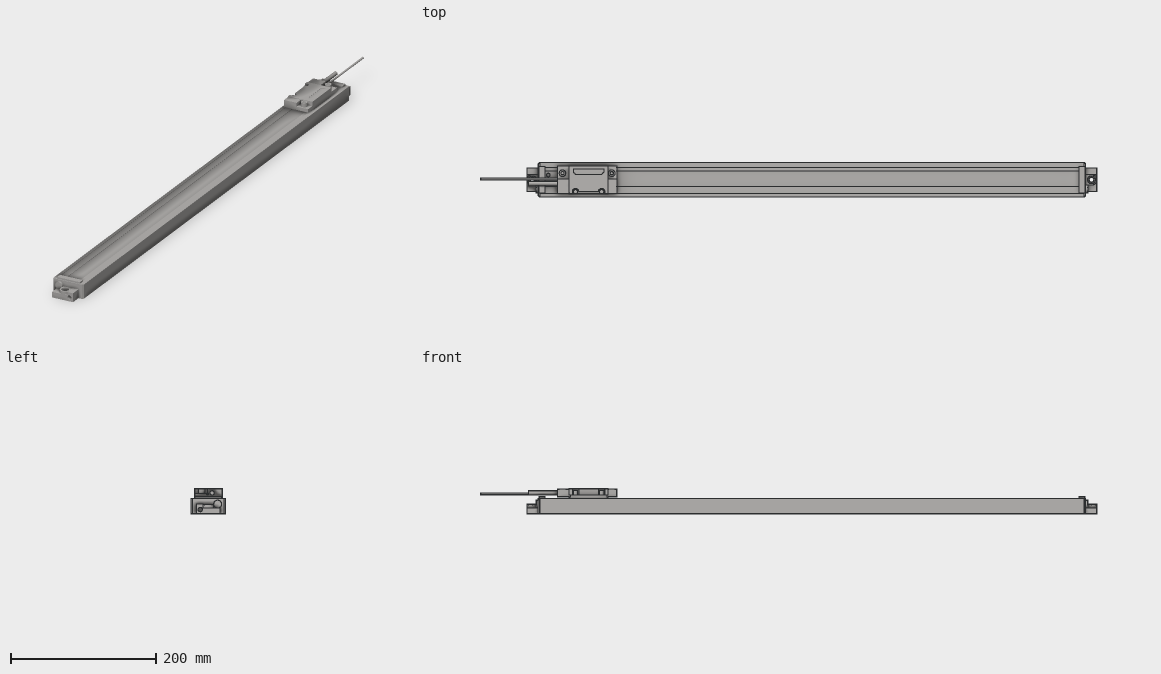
import cadquery as cq

total_length = 850.0
total_height = 35.0

rail_length = 750.0
rail_width = 47.9
rail_height = 21.5
groove_front = -19.0
strip_front = -9.0
strip_back = 12.0
groove_back = 17.0
shoulder_depth = 0.5
strip_depth = 1.0
strip_hole_diameter = 5.0
strip_hole_depth = 2.0
strip_hole_inset = 11.5
strip_hole_y = 6.5

flange_length = 18.0
flange_width = 33.0
flange_height = 8.5
plate_thickness = 2.5
plate_chamfer = 2.0
pad_width = 15.0
pad_height = 13.0
side_block_height = 13.5
mount_hole_diameter = 6.5
mount_counterbore_diameter = 11.0
mount_counterbore_depth = pad_height - flange_height
plug_diameter = 11.0
plug_y = -13.0
plug_z = 13.5
plug_length = 5.5
port_diameter = 6.0
port_y = 11.0
port_z = 6.0
port_depth = 10.0
tongue_length = 7.0
tongue_width = 36.0
tongue_bottom = 18.0
tongue_top = 24.0

rail_end = total_length - flange_length
rail_start = rail_end - rail_length

head_start = 106.0
head_length = 82.0
head_width = 38.5
left_wing_length = 16.0
right_wing_length = 12.0
wing_setback = 0.6
wing_step_height = 28.5
wing_step_y = 1.0
wing_top = total_height - 0.8
wing_underside = 23.5
foot_corner_radius = 4.0
cover_start = head_start + left_wing_length
cover_end = head_start + head_length - right_wing_length
head_bottom = rail_height
base_top = 26.0
head_y = -0.3
screw_diameter = 9.0
screw_head_height = 6.0
socket_diameter = 4.5
socket_depth = 2.0
screw_y = 9.0
screw_inset = 7.0
label_length = 42.0
label_width = 7.0
label_y = 11.0
label_depth = 0.5
label_chamfer = 3.0
side_pocket_length = 44.0
side_pocket_depth = 3.5
side_screw_diameter = 6.0
side_screw_clearance = 9.0
side_screw_pitch = 36.0
side_screw_height = 6.5

cable_diameter = 2.8
cable_y = 1.0
cable_z = 27.6
sleeve_diameter = 6.0
sleeve_length = 40.0
sleeve_y = -5.3
sleeve_z = 29.0


def box(x_min, x_max, y_min, y_max, z_min, z_max):
    """Axis-aligned block between the given limits."""
    size = (x_max - x_min, y_max - y_min, z_max - z_min)
    return cq.Workplane("XY").box(*size, centered=False).translate((x_min, y_min, z_min))


def rod_along_x(x_start, length, y, z, diameter):
    """Cylinder running in +X from x_start."""
    return cq.Workplane("YZ", origin=(x_start, y, z)).circle(diameter / 2).extrude(length)


def make_rail():
    """Long bar with a shallow stepped top and a seat at each end for a cap tongue,
    plus a small blind hole in the strip near the -X end.
    """
    half_width = rail_width / 2
    shoulder_z = rail_height - shoulder_depth
    strip_z = rail_height - strip_depth
    profile = [
        (-half_width, 0),
        (half_width, 0),
        (half_width, rail_height),
        (groove_back, rail_height),
        (groove_back, shoulder_z),
        (strip_back, shoulder_z),
        (strip_back, strip_z),
        (strip_front, strip_z),
        (strip_front, shoulder_z),
        (groove_front, shoulder_z),
        (groove_front, rail_height),
        (-half_width, rail_height),
    ]
    body = cq.Workplane("YZ", origin=(rail_start, 0, 0)).polyline(profile).close().extrude(rail_length)
    for seat_start in (rail_start, rail_end - tongue_length):
        seat = box(
            seat_start, seat_start + tongue_length,
            -tongue_width / 2, tongue_width / 2,
            tongue_bottom, total_height,
        )
        body = body.cut(seat)
    strip_hole = (
        cq.Workplane("XY", origin=(rail_start + strip_hole_inset, strip_hole_y, strip_z - strip_hole_depth))
        .circle(strip_hole_diameter / 2)
        .extrude(strip_hole_depth)
    )
    return body.cut(strip_hole)


def make_right_cap():
    """End cap at the +X end: plate, tongue, mounting flange with raised pad and side block, and plug."""
    plate = box(rail_end, rail_end + plate_thickness, -rail_width / 2, rail_width / 2, 0, rail_height)
    plate = plate.faces(">X").edges("|Z").chamfer(plate_chamfer)
    tongue = box(
        rail_end - tongue_length, rail_end + plate_thickness / 2,
        -tongue_width / 2, tongue_width / 2,
        tongue_bottom, tongue_top,
    )
    flange = box(rail_end, total_length, -flange_width / 2, flange_width / 2, 0, flange_height)
    pad_radius = pad_width / 2
    hole_x = total_length - pad_radius
    pad = (
        box(rail_end, hole_x, -pad_radius, pad_radius, 0, pad_height)
        .union(cq.Workplane("XY", origin=(hole_x, 0, 0)).circle(pad_radius).extrude(pad_height))
    )
    plug = rod_along_x(rail_end, plug_length, plug_y, plug_z, plug_diameter)
    side_block = box(rail_end, total_length, pad_radius, flange_width / 2, 0, side_block_height)
    cap = plate.union(tongue).union(flange).union(pad).union(side_block).union(plug)

    mount_hole = cq.Workplane("XY", origin=(hole_x, 0, 0)).circle(mount_hole_diameter / 2).extrude(pad_height)
    counterbore = (
        cq.Workplane("XY", origin=(hole_x, 0, pad_height - mount_counterbore_depth))
        .circle(mount_counterbore_diameter / 2)
        .extrude(mount_counterbore_depth)
    )
    port = rod_along_x(total_length - port_depth, port_depth, port_y, port_z, port_diameter)
    return cap.cut(mount_hole).cut(counterbore).cut(port)


def make_left_cap():
    """The right cap mirrored to the -X end of the rail."""
    rail_middle = (rail_start + rail_end) / 2
    return make_right_cap().mirror("YZ", (rail_middle, 0, 0))


def wing_screw(x):
    """Socket head screw standing on a lowered wing."""
    seat = cq.Workplane("XY", origin=(x, screw_y, wing_step_height))
    screw = seat.circle(screw_diameter / 2).extrude(screw_head_height)
    return screw.faces(">Z").workplane().hole(socket_diameter, socket_depth)


def make_head():
    """Reading head riding on the rail, with its cover, screws, cable and sleeve."""
    head_end = head_start + head_length
    y_front = head_y - head_width / 2
    y_back = head_y + head_width / 2
    head = box(head_start, head_end, y_front + wing_setback, y_back, wing_underside, wing_top)
    foot = box(cover_start, cover_end, y_front, y_back, head_bottom, base_top)
    foot = foot.edges("|Z").fillet(foot_corner_radius)
    cover = box(cover_start, cover_end, y_front, y_back, base_top, total_height)
    head = head.union(foot).union(cover)

    for x_min, x_max in ((head_start, cover_start), (cover_end, head_end)):
        head = head.cut(box(x_min, x_max, wing_step_y, y_back, wing_step_height, total_height))
    for screw_x in (head_start + screw_inset, head_end - screw_inset):
        head = head.union(wing_screw(screw_x))

    cover_middle = (cover_start + cover_end) / 2
    label = (
        cq.Workplane("XY", origin=(cover_middle, label_y, total_height - label_depth))
        .rect(label_length, label_width)
        .extrude(label_depth)
        .edges("|Z and <Y")
        .chamfer(label_chamfer)
    )
    head = head.cut(label)

    pocket_half = side_pocket_length / 2
    pocket = box(
        cover_middle - pocket_half, cover_middle + pocket_half,
        y_front, y_front + side_pocket_depth,
        base_top, total_height,
    )
    head = head.cut(pocket)
    for side in (-1, 1):
        screw_x = cover_middle + side * side_screw_pitch / 2
        screw_plane = cq.Workplane("XY", origin=(screw_x, y_front + side_screw_diameter / 2, base_top))
        clearance = screw_plane.circle(side_screw_clearance / 2).extrude(total_height - base_top)
        screw = screw_plane.circle(side_screw_diameter / 2).extrude(side_screw_height)
        head = head.cut(clearance).union(screw)

    cable = rod_along_x(0, head_start, cable_y, cable_z, cable_diameter)
    sleeve = rod_along_x(head_start - sleeve_length, sleeve_length, sleeve_y, sleeve_z, sleeve_diameter)
    return head.union(cable).union(sleeve)


rail = make_rail()
left_cap = make_left_cap()
right_cap = make_right_cap()
head = make_head()
result = cq.Compound.makeCompound([rail.val(), left_cap.val(), right_cap.val(), head.val()])